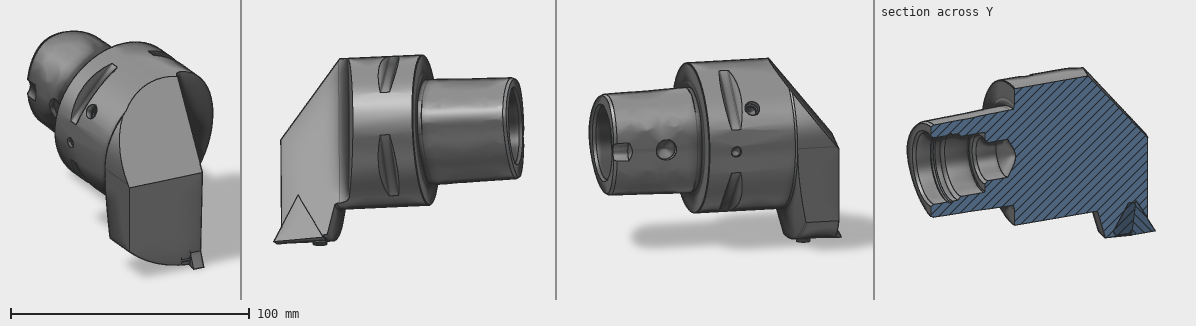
import cadquery as cq
import math


FLANGE_RADIUS = 31.5
FLANGE_EDGE = 0.3
FLANGE_LENGTH = 37.3
BLANK_LENGTH = 72.1

SHANK_LENGTH = 38.0
LOBE_MEAN_RADIUS = 22.0
LOBE_SWING = 1.3
TAPER_PER_LENGTH = 0.025
SHANK_CHAMFER = 1.3
NECK_LENGTH = 2.2
NECK_RADIUS = 22.5
COLLAR_THICKNESS = 0.3
COLLAR_RADIUS = 24.2
COLLAR_TOP_RADIUS = 22.7
LOBE_POINTS = 48

BORE_MOUTH_RADIUS = 16.3
BORE_RADIUS = 15.5
BORE_CHAMFER = 1.3
BORE_DEPTH = 12.3
GROOVE_START = 7.8
GROOVE_WIDTH = 2.1
GROOVE_DEPTH = 0.5
SEAT_RADIUS = 14.0
SEAT_START = 13.7
SEAT_END = 24.3
FLOOR_RADIUS = 13.6
FLOOR_DEPTH = 24.7
PILOT_MOUTH_RADIUS = 10.4
PILOT_RADIUS = 9.2
PILOT_CHAMFER = 1.2
PILOT_DEPTH = 35.0
DRILL_HALF_ANGLE = 59.0

KEYWAY_RADIUS = 4.5
KEYWAY_LENGTH = 6.4
KEYWAY_OFFSET = 22.1
SHANK_HOLE_RADIUS = 4.3
SHANK_HOLE_X = -15.6
SHANK_HOLE_FLOOR = 18.0

GRIP_X = 12.0
GRIP_FLOOR_WIDTH = 3.9
GRIP_TOP_WIDTH = 7.8
GRIP_FLOOR_RADIUS = 27.8
GRIP_FILLET = 0.4
MARK_HOLE_X = 11.8
MARK_HOLE_RADIUS = 2.2
MARK_HOLE_FLOOR = 29.9

PLUG_X = 20.0
PLUG_ANGLE = 33.0
PLUG_RADIUS = 3.1
PLUG_RECESS = 3.1
PLUG_LENGTH = 5.2
SOCKET_RADIUS = 2.4
SOCKET_DEPTH = 1.3

HEAD_START = 38.1
HEAD_RADIUS = 32.0
CONE_END = 42.3
CONE_END_RADIUS = 47.4
BELLY_RADIUS = 44.4
BELLY_CENTER_Y = -1.0
BELLY_EDGE = 0.6

SLOPE_POINT = (61.4, 1.4, -1.2)
SLOPE_NORMAL = (1.21, -0.19, 1.0)

TIP = (65.0, -0.3, -45.1)
RAKE_ANGLE = 9.7
RAKE_TILT = 1.3
FLANK_SETBACK = 3.5
CHIP_WALL_ANGLE = 65.3
CHIP_FLOOR_LENGTH = 33.5
CHIP_ROOT_RADIUS = 6.2

INSERT_SIDE = 22.0
INSERT_HEIGHT = INSERT_SIDE * math.sin(math.radians(60))
INSERT_THICKNESS = 4.7
SHIM_INSET = 1.2
SHIM_CORNER = 2.1
SHIM_THICKNESS = 3.9
SCREW_X = 46.8
SCREW_Y = -8.2
SCREW_RADIUS = 2.9
SCREW_BOTTOM = -44.9
SCREW_LENGTH = 8.2

OVERSIZE = 206.0

rake = math.radians(RAKE_ANGLE)
RAKE_PLANE = cq.Plane(
    origin=TIP,
    xDir=(math.cos(rake), -math.sin(rake), 0),
    normal=(math.sin(rake), math.cos(rake), -math.tan(math.radians(RAKE_TILT))),
)


def turned(profile):
    """Solid of revolution about X from (x, radius) points."""
    return cq.Workplane("XY").polyline(profile).close().revolve(360, (0, 0, 0), (1, 0, 0))


def cone_length(radius):
    """Length of the point that a drill of this radius leaves."""
    return radius / math.tan(math.radians(DRILL_HALF_ANGLE))


def drill(start, direction, radius, depth):
    """Drilled hole with a conical end beyond its full-width depth."""
    axis = cq.Vector(*direction)
    shoulder = cq.Vector(*start) + axis * depth
    body = cq.Solid.makeCylinder(radius, depth, cq.Vector(*start), axis)
    point = cq.Solid.makeCone(radius, 0, cone_length(radius), shoulder, axis)
    return cq.Workplane(body).union(cq.Workplane(point))


def half_space(point, normal):
    """Large block that starts at a plane and fills the side its normal points to."""
    plane = cq.Plane(origin=point, normal=normal)
    return cq.Workplane(plane).rect(OVERSIZE, OVERSIZE).extrude(OVERSIZE)


def lobe_wire(x, mean_radius):
    """Constant-width three-lobed outline with one lobe toward +Y."""

    def point(angle):
        reach = mean_radius + LOBE_SWING * math.cos(3 * angle)
        slope = -3 * LOBE_SWING * math.sin(3 * angle)
        y = reach * math.cos(angle) - slope * math.sin(angle)
        z = reach * math.sin(angle) + slope * math.cos(angle)
        return cq.Vector(x, y, z)

    points = [point(2 * math.pi * i / LOBE_POINTS) for i in range(LOBE_POINTS)]
    return cq.Wire.assembleEdges([cq.Edge.makeSpline(points, periodic=True)])


def make_shank():
    def radius_at(x):
        return LOBE_MEAN_RADIUS + TAPER_PER_LENGTH * (x + NECK_LENGTH)

    def stage(start, start_radius, end, end_radius):
        wires = [lobe_wire(start, start_radius), lobe_wire(end, end_radius)]
        return cq.Workplane(cq.Solid.makeLoft(wires, True))

    end = -SHANK_LENGTH
    shoulder = end + SHANK_CHAMFER
    tip = stage(end, radius_at(shoulder) - SHANK_CHAMFER / 2, shoulder, radius_at(shoulder))
    taper = stage(shoulder, radius_at(shoulder), -NECK_LENGTH, LOBE_MEAN_RADIUS)
    neck = stage(-NECK_LENGTH, LOBE_MEAN_RADIUS, 0, LOBE_MEAN_RADIUS)
    neck_limit = turned([(-NECK_LENGTH, 0), (-NECK_LENGTH, NECK_RADIUS), (0, NECK_RADIUS), (0, 0)])
    neck = neck.intersect(neck_limit)
    collar = turned(
        [(-COLLAR_THICKNESS, 0), (-COLLAR_THICKNESS, COLLAR_TOP_RADIUS), (0, COLLAR_RADIUS), (0, 0)]
    )
    return tip.union(taper).union(neck).union(collar)


def make_bore():
    mouth = -SHANK_LENGTH
    groove = mouth + GROOVE_START
    floor = mouth + FLOOR_DEPTH
    pilot_end = mouth + PILOT_DEPTH
    return turned(
        [
            (mouth, 0),
            (mouth, BORE_MOUTH_RADIUS),
            (mouth + BORE_CHAMFER, BORE_RADIUS),
            (groove, BORE_RADIUS),
            (groove + GROOVE_DEPTH, BORE_RADIUS + GROOVE_DEPTH),
            (groove + GROOVE_WIDTH - GROOVE_DEPTH, BORE_RADIUS + GROOVE_DEPTH),
            (groove + GROOVE_WIDTH, BORE_RADIUS),
            (mouth + BORE_DEPTH, BORE_RADIUS),
            (mouth + SEAT_START, SEAT_RADIUS),
            (mouth + SEAT_END, SEAT_RADIUS),
            (floor, FLOOR_RADIUS),
            (floor, PILOT_MOUTH_RADIUS),
            (floor + PILOT_CHAMFER, PILOT_RADIUS),
            (pilot_end, PILOT_RADIUS),
            (pilot_end + cone_length(PILOT_RADIUS), 0),
        ]
    )


def make_head():
    """Cylinder above the axis; below it, a cone-backed belly with a flat -Y side."""
    sector = turned(
        [
            (HEAD_START, 0),
            (HEAD_START, HEAD_RADIUS),
            (CONE_END, CONE_END_RADIUS),
            (BLANK_LENGTH, CONE_END_RADIUS),
            (BLANK_LENGTH, 0),
        ]
    )
    length = BLANK_LENGTH - HEAD_START
    flat_side = (
        cq.Workplane("YZ", origin=(HEAD_START, 0, 0))
        .rect(2 * HEAD_RADIUS, OVERSIZE)
        .extrude(length)
        .intersect(half_space((0, 0, 0), (0, 0, -1)))
    )
    belly = cq.Workplane("YZ", origin=(HEAD_START, BELLY_CENTER_Y, 0)).circle(BELLY_RADIUS).extrude(length)
    rear_edge = cq.selectors.NearestToPointSelector((CONE_END, BELLY_CENTER_Y, -BELLY_RADIUS))
    lower = sector.intersect(belly).intersect(flat_side).edges(rear_edge).fillet(BELLY_EDGE)
    upper = turned(
        [
            (FLANGE_LENGTH, 0),
            (FLANGE_LENGTH, FLANGE_RADIUS),
            (HEAD_START, HEAD_RADIUS),
            (BLANK_LENGTH, HEAD_RADIUS),
            (BLANK_LENGTH, 0),
        ]
    )
    return upper.union(lower)


def make_chip_space():
    """Prism above the rake plane, bounded behind by a leaning wall with a rounded root."""
    wall = math.radians(CHIP_WALL_ANGLE)
    reach = OVERSIZE / 4
    root_x = -CHIP_FLOOR_LENGTH
    top_x = root_x - reach * math.cos(wall)
    top_y = reach * math.sin(wall)
    along_edge = RAKE_PLANE.yDir * -1
    section = cq.Plane(origin=TIP, xDir=RAKE_PLANE.xDir.toTuple(), normal=along_edge.toTuple())
    root = cq.selectors.NearestToPointSelector(RAKE_PLANE.toWorldCoords((root_x, 0, 0)).toTuple())
    prism = (
        cq.Workplane(section)
        .polyline([(reach, 0), (root_x, 0), (top_x, top_y), (reach, top_y)])
        .close()
        .extrude(OVERSIZE / 2, both=True)
    )
    return prism.edges(root).fillet(CHIP_ROOT_RADIUS)


def make_grip_slots():
    depth = FLANGE_RADIUS - GRIP_FLOOR_RADIUS
    floor = GRIP_FLOOR_WIDTH / 2
    top = GRIP_TOP_WIDTH / 2
    slot = (
        cq.Workplane("XZ", origin=(GRIP_X, 0, GRIP_FLOOR_RADIUS))
        .polyline([(-floor, 0), (floor, 0), (top, depth), (-top, depth)])
        .close()
        .extrude(FLANGE_RADIUS, both=True)
    )
    floor_edges = cq.selectors.BoxSelector(
        (0, -OVERSIZE, 0), (OVERSIZE, OVERSIZE, GRIP_FLOOR_RADIUS + depth / 2)
    )
    slot = slot.edges(floor_edges).edges("|Y").fillet(GRIP_FILLET)
    return [slot.rotate((0, 0, 0), (1, 0, 0), turn) for turn in (45, 135, 225, 315)]


def make_insert():
    return (
        cq.Workplane(RAKE_PLANE)
        .polyline([(0, 0), (-INSERT_SIDE, 0), (-INSERT_SIDE / 2, -INSERT_HEIGHT)])
        .close()
        .extrude(-INSERT_THICKNESS)
    )


def make_shim(clamp_screw):
    """Smaller triangle under the insert, with blunted corners and relief for the clamp screw."""
    seat = RAKE_PLANE.toWorldCoords((-INSERT_SIDE / 2, -INSERT_HEIGHT / 3, -INSERT_THICKNESS))
    plane = cq.Plane(origin=seat.toTuple(), xDir=RAKE_PLANE.xDir.toTuple(), normal=RAKE_PLANE.zDir.toTuple())
    corner_reach = 2 * (INSERT_HEIGHT / 3 - SHIM_INSET)
    points = []
    for degrees in (30, 150, 270):
        angle = math.radians(degrees)
        points.append((corner_reach * math.cos(angle), corner_reach * math.sin(angle)))
    triangle = cq.Workplane(plane).polyline(points).close().extrude(-SHIM_THICKNESS)
    corners = cq.selectors.ParallelDirSelector(RAKE_PLANE.zDir)
    return triangle.edges(corners).chamfer(SHIM_CORNER).cut(clamp_screw)


def make_clamp_screw():
    base = cq.Workplane("XY", origin=(SCREW_X, SCREW_Y, SCREW_BOTTOM))
    return base.circle(SCREW_RADIUS).extrude(SCREW_LENGTH)


def plug_direction():
    angle = math.radians(PLUG_ANGLE)
    return cq.Vector(0, math.cos(angle), -math.sin(angle))


def plug_point(radius):
    """Point on the plug axis at a distance from the tool axis."""
    return (cq.Vector(PLUG_X, 0, 0) - plug_direction() * radius).toTuple()


def make_plug_hole():
    start = plug_point(FLANGE_RADIUS + PLUG_RECESS)
    plane = cq.Plane(origin=start, xDir=(1, 0, 0), normal=plug_direction().toTuple())
    return cq.Workplane(plane).circle(PLUG_RADIUS).extrude(2 * PLUG_RECESS + PLUG_LENGTH)


def make_plug():
    """Plug sunk in the flange, with a drilled socket in its outer face."""
    face = plug_point(FLANGE_RADIUS - PLUG_RECESS)
    direction = plug_direction().toTuple()
    plane = cq.Plane(origin=face, xDir=(1, 0, 0), normal=direction)
    socket = drill(face, direction, SOCKET_RADIUS, SOCKET_DEPTH)
    return cq.Workplane(plane).circle(PLUG_RADIUS).extrude(PLUG_LENGTH).cut(socket)


def make_holder(fitted_bodies):
    flange = turned(
        [
            (0, 0),
            (0, FLANGE_RADIUS - FLANGE_EDGE),
            (FLANGE_EDGE, FLANGE_RADIUS),
            (FLANGE_LENGTH, FLANGE_RADIUS),
            (FLANGE_LENGTH, 0),
        ]
    )
    flank_point = RAKE_PLANE.toWorldCoords((-FLANK_SETBACK, 0, 0)).toTuple()
    keyway = drill((-SHANK_LENGTH, -KEYWAY_OFFSET, 0), (1, 0, 0), KEYWAY_RADIUS, KEYWAY_LENGTH)
    shank_hole_depth = LOBE_MEAN_RADIUS - SHANK_HOLE_FLOOR
    shank_hole = drill((SHANK_HOLE_X, -LOBE_MEAN_RADIUS, 0), (0, 1, 0), SHANK_HOLE_RADIUS, shank_hole_depth)
    mark_depth = FLANGE_RADIUS - MARK_HOLE_FLOOR
    mark_hole = drill((MARK_HOLE_X, -FLANGE_RADIUS, 0), (0, 1, 0), MARK_HOLE_RADIUS, mark_depth)
    holder = (
        flange.union(make_head())
        .cut(half_space(SLOPE_POINT, SLOPE_NORMAL))
        .cut(half_space(flank_point, RAKE_PLANE.xDir.toTuple()))
        .cut(make_chip_space())
        .union(make_shank())
    )
    holes = [make_bore(), keyway, shank_hole, mark_hole, make_plug_hole()]
    for cutter in holes + make_grip_slots() + fitted_bodies:
        holder = holder.cut(cutter)
    return holder


insert = make_insert()
clamp_screw = make_clamp_screw()
shim = make_shim(clamp_screw)
plug = make_plug()
holder = make_holder([insert, shim, clamp_screw])

bodies = [holder, insert, shim, clamp_screw, plug]
result = cq.Compound.makeCompound([body.solids().val() for body in bodies])